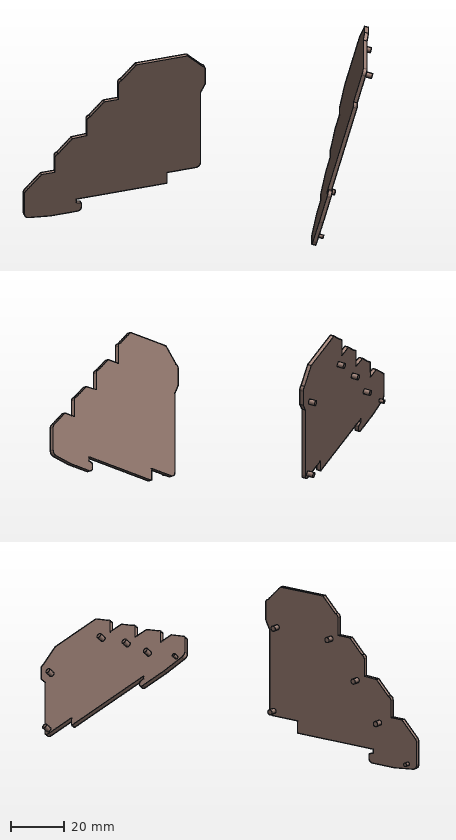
import cadquery as cq

LENGTH = 71.35
HEIGHT = 61.2
PLATE_THICKNESS = 1.5

SHOULDER_INSET = 1.15
SHOULDER_DROP = 1.4
SHOULDER_RADIUS = (SHOULDER_INSET**2 + SHOULDER_DROP**2) / (2 * SHOULDER_INSET)
STEPS = [
    (12.1, 27.4, 33.0, 33.3),
    (24.7, 41.45, 47.1, 47.1),
    (37.2, 55.4, HEIGHT, HEIGHT),
]
BACK_SHOULDER_Z = 55.4

LOW_TREAD_Z = 19.35
LOW_CHAMFER = 6.8
LOW_SHOULDER_RADIUS = 1.85

TOE_Z = 1.15
TOE_RADIUS = 1.9
SOLE_FRONT_Y = 10.35
HOOK_BACK_Y = 22.55
HOOK_TIP_Z = 3.35
HOOK_ROOT_Y = 20.5
HOOK_ROOT_Z = 3.9
HEEL_RADIUS = 1.8
SMALL_RADIUS = 0.4

UNDERSIDE_Z = 5.5
NOTCH_Y = 56.3
NOTCH_Z = 10.3
BACK_Y = 69.5
BACK_RADIUS = 2.0
OVERHANG_LOW_Z = 43.75
OVERHANG_HIGH_Z = 47.2

PEG_DIAMETER = 2.0
PEG_LENGTH = 2.5
PEG_CENTRES = [(65.85, 45.25), (40.45, 45.25), (28.05, 31.2), (17.5, 16.4), (67.4, 12.3)]
SMALL_PEG_DIAMETER = 1.35
SMALL_PEG_LENGTH = 1.85
SMALL_PEG_CENTRE = (4.0, 2.7)


def add_step(outline, riser_y, shoulder_z, tread_front_z, tread_back_z, next_y):
    """Climb one riser, its rounded shoulder and chamfer, then run along the tread."""
    chamfer_y = riser_y + SHOULDER_INSET
    tread_front_y = chamfer_y + tread_front_z - shoulder_z
    return (
        outline.lineTo(riser_y, shoulder_z - SHOULDER_DROP)
        .radiusArc((chamfer_y, shoulder_z), SHOULDER_RADIUS)
        .lineTo(tread_front_y, tread_front_z)
        .lineTo(next_y, tread_back_z)
    )


def round_corner(plate, y, z, radius):
    """Fillet the edge running through the plate at (y, z)."""
    corner = cq.selectors.NearestToPointSelector((PLATE_THICKNESS / 2, y, z))
    return plate.edges("|X").edges(corner).fillet(radius)


def make_plate():
    outline = (
        cq.Workplane("YZ")
        .moveTo(SOLE_FRONT_Y, 0)
        .lineTo(0, TOE_Z)
        .lineTo(0, LOW_TREAD_Z - LOW_CHAMFER)
        .lineTo(LOW_CHAMFER, LOW_TREAD_Z)
        .lineTo(STEPS[0][0], LOW_TREAD_Z)
    )
    back_chamfer_y = LENGTH - SHOULDER_INSET
    top_back_y = back_chamfer_y - (HEIGHT - BACK_SHOULDER_Z)
    tread_ends = [step[0] for step in STEPS[1:]] + [top_back_y]
    for (riser_y, shoulder_z, front_z, back_z), next_y in zip(STEPS, tread_ends):
        outline = add_step(outline, riser_y, shoulder_z, front_z, back_z, next_y)
    plate = (
        outline.lineTo(back_chamfer_y, BACK_SHOULDER_Z)
        .radiusArc((LENGTH, BACK_SHOULDER_Z - SHOULDER_DROP), SHOULDER_RADIUS)
        .lineTo(LENGTH, OVERHANG_HIGH_Z)
        .lineTo(BACK_Y, OVERHANG_LOW_Z)
        .lineTo(BACK_Y, NOTCH_Z)
        .lineTo(NOTCH_Y, NOTCH_Z)
        .lineTo(NOTCH_Y, UNDERSIDE_Z)
        .lineTo(HOOK_ROOT_Y, UNDERSIDE_Z)
        .lineTo(HOOK_ROOT_Y, HOOK_ROOT_Z)
        .lineTo(HOOK_BACK_Y, HOOK_TIP_Z)
        .lineTo(HOOK_BACK_Y, 0)
        .close()
        .extrude(PLATE_THICKNESS)
    )
    rounded_corners = [
        (0, TOE_Z, TOE_RADIUS),
        (0, LOW_TREAD_Z - LOW_CHAMFER, LOW_SHOULDER_RADIUS),
        (BACK_Y, NOTCH_Z, BACK_RADIUS),
        (NOTCH_Y, UNDERSIDE_Z, SMALL_RADIUS),
        (HOOK_BACK_Y, HOOK_TIP_Z, SMALL_RADIUS),
        (HOOK_BACK_Y, 0, HEEL_RADIUS),
    ]
    for y, z, radius in rounded_corners:
        plate = round_corner(plate, y, z, radius)
    return plate


def make_pegs(centres, diameter, length):
    """Pegs standing out from the -X face, rooted in the plate."""
    return (
        cq.Workplane("YZ", origin=(-length, 0, 0))
        .pushPoints(centres)
        .circle(diameter / 2)
        .extrude(length + PLATE_THICKNESS / 2)
    )


result = (
    make_plate()
    .union(make_pegs(PEG_CENTRES, PEG_DIAMETER, PEG_LENGTH))
    .union(make_pegs([SMALL_PEG_CENTRE], SMALL_PEG_DIAMETER, SMALL_PEG_LENGTH))
)